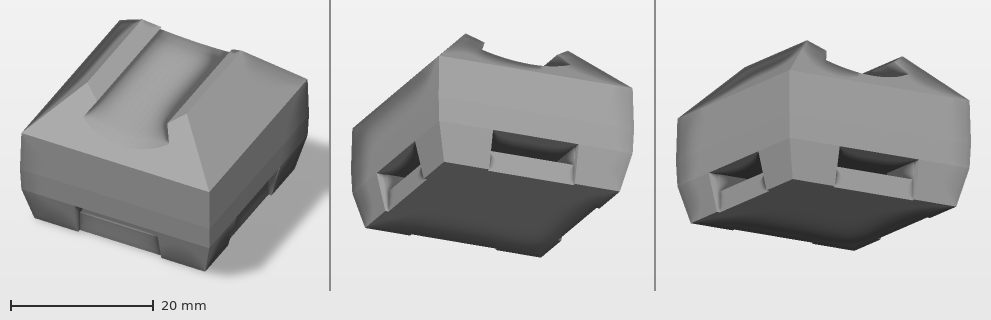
import cadquery as cq

foot_top = 5.5
widest_height = 9.07
shoulder_height = 15.35
total_height = 22.3

base_width = 27.02
shoulder_width = 29.72
widest_width = 30.02
roof_top_depth = 16.57

window_width = 13.15
plinth_width = 26.03
plinth_height = 3.05

core_width = 26.85
passage_top_width = 12.9

mouth_half_width = 7.87
lip_half_width = 5.55
lip_height = 20.75
seat_half_width = 6.8
seat_edge_height = 18.75
seat_bottom = 17.1


def tapered_block(bottom_width, top_width, bottom, top):
    """Square block centred on Z whose sides run straight between two widths."""
    return (
        cq.Workplane("XY", origin=(0, 0, bottom))
        .rect(bottom_width, bottom_width)
        .workplane(offset=top - bottom)
        .rect(top_width, top_width)
        .loft(ruled=True)
    )


def make_roof():
    """Four sloping sides, rising to a top whose edges along Y form the groove mouth."""
    return (
        cq.Workplane("XY", origin=(0, 0, shoulder_height))
        .rect(shoulder_width, shoulder_width)
        .workplane(offset=total_height - shoulder_height)
        .rect(2 * mouth_half_width, roof_top_depth)
        .loft(ruled=True)
    )


def make_groove():
    """Undercut cradle running through the roof along Y."""
    return (
        cq.Workplane("XZ")
        .moveTo(-mouth_half_width, total_height)
        .lineTo(-lip_half_width, lip_height)
        .lineTo(-seat_half_width, seat_edge_height)
        .threePointArc((0, seat_bottom), (seat_half_width, seat_edge_height))
        .lineTo(lip_half_width, lip_height)
        .lineTo(mouth_half_width, total_height)
        .close()
        .extrude(widest_width / 2, both=True)
    )


def make_passage(bottom_width, top_width, bottom):
    """Passage along X up to the top of the feet, with straight or leaning sides."""
    return (
        cq.Workplane("YZ", origin=(-widest_width / 2, 0, 0))
        .moveTo(-bottom_width / 2, bottom)
        .lineTo(bottom_width / 2, bottom)
        .lineTo(top_width / 2, foot_top)
        .lineTo(-top_width / 2, foot_top)
        .close()
        .extrude(widest_width)
    )


def cut_crossing(body, passage):
    """Cut the passage along both X and Y."""
    return body.cut(passage).cut(passage.rotate((0, 0, 0), (0, 0, 1), 90))


def make_feet():
    """Four corner feet, separated by crossing passages above a low plinth."""
    feet = tapered_block(base_width, shoulder_width, 0, foot_top)
    feet = cut_crossing(feet, make_passage(window_width, window_width, 0))

    core = tapered_block(core_width, core_width, plinth_height, foot_top)
    core = cut_crossing(core, make_passage(window_width, passage_top_width, plinth_height))

    plinth = tapered_block(plinth_width, plinth_width, 0, plinth_height)
    return feet.union(core).union(plinth)


lower_body = tapered_block(shoulder_width, widest_width, foot_top, widest_height)
upper_body = tapered_block(widest_width, shoulder_width, widest_height, shoulder_height)

result = (
    make_feet()
    .union(lower_body)
    .union(upper_body)
    .union(make_roof())
    .cut(make_groove())
)